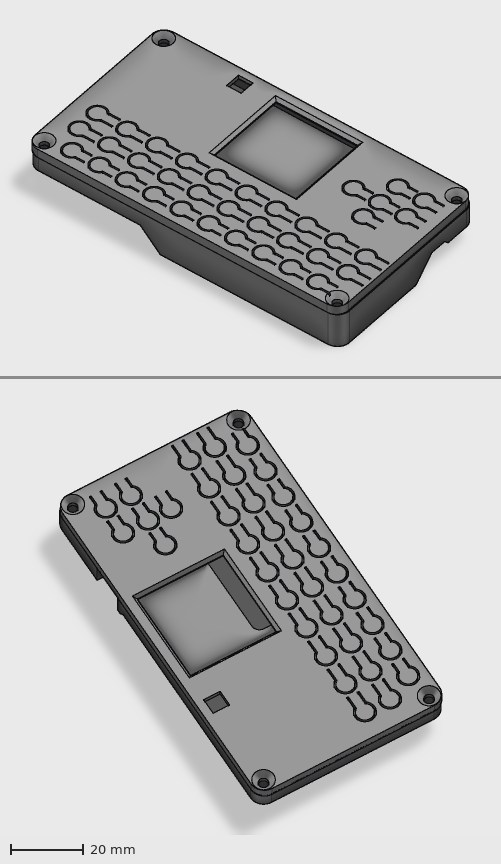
import cadquery as cq
import math

CASE_WIDTH = 110.5
CASE_DEPTH = 60.8
CORNER_RADIUS = 4.2
WALL = 1.0
BASE_SHIFT = 0.3
BASE_RIGHT = BASE_SHIFT + CASE_WIDTH
STEP_Z = 7.1
SEAM_Z = 12.0
TOP_Z = 15.1
LID_PLATE = 1.4
FLOOR_Z = 8.8

BULGE_LEFT = 47.4
BULGE_BACK = 34.1
BULGE_CORNER = 2.0
BATTERY_LEFT = 48.7
BATTERY_BACK = 32.6
BATTERY_CORNER_RADIUS = 2.4
BATTERY_FLOOR_Z = 1.3

PAD_HEIGHT = 1.5
PAD_LEFT = 75.0
PAD_FRONT = 48.4
NOTCH_LEFT = 76.5
NOTCH_FRONT = 48.7
NOTCH_WIDTH = 11.1

SCREW_DIAMETER = 3.0
SCREW_HEAD_DIAMETER = 6.5
SCREW_HEAD_ANGLE = 90
BOSS_DIAMETER = 7.8
SCREW_POINTS = [(3.7, 57.2), (3.4, 3.9), (107.1, 57.0), (107.0, 3.5)]

WINDOW_LEFT, WINDOW_RIGHT = 42.4, 73.2
WINDOW_FRONT, WINDOW_BACK = 28.3, 57.9
WINDOW_BEVEL = 1.0
INDICATOR_LEFT, INDICATOR_RIGHT = 29.2, 34.3
INDICATOR_FRONT, INDICATOR_BACK = 52.8, 58.2

KEY_RADIUS = 2.7
KEY_HALF_STEM = 1.4
SLOT_WIDTH = 0.5
KEYS_PER_ROW = 10
LONG_STEM = 6.5
SHORT_STEM = 5.5
WIDE_PITCH = 10.5
NARROW_PITCH = 9.6
ROWS = [
    (8.1, 21.8, WIDE_PITCH, LONG_STEM),
    (8.1, 13.7, WIDE_PITCH, LONG_STEM),
    (12.0, 5.5, NARROW_PITCH, SHORT_STEM),
]
CROSS_KEY_COLUMNS = (82.8, 92.1, 101.4)
CROSS_KEY_ROWS = (34.2, 41.7, 49.7)


def box_between(x0, x1, y0, y1, z0, z1):
    return cq.Workplane("XY").box(x1 - x0, y1 - y0, z1 - z0, centered=False).translate((x0, y0, z0))


def rounded_block(left, inset, z0, z1):
    """Block with the case outline, moved inwards by the inset."""
    block = box_between(left + inset, left + CASE_WIDTH - inset, inset, CASE_DEPTH - inset, z0, z1)
    return block.edges("|Z").fillet(CORNER_RADIUS - inset)


def cylinders(diameter, z0, z1):
    """One cylinder on each screw axis."""
    points = cq.Workplane("XY", origin=(0, 0, z0)).pushPoints(SCREW_POINTS)
    return points.circle(diameter / 2).extrude(z1 - z0)


def key_outline(radius, half_stem, length):
    """Disc with a straight stem towards +X, as a solid as thick as the lid plate."""
    disc = cq.Workplane("XY").circle(radius).extrude(LID_PLATE)
    stem = box_between(0, length, -half_stem, half_stem, 0, LID_PLATE)
    return disc.union(stem)


def key_slot(x, y, stem_length):
    """Keyhole-shaped slot through the lid plate, open at the end of the stem."""
    outer = key_outline(KEY_RADIUS + SLOT_WIDTH, KEY_HALF_STEM + SLOT_WIDTH, stem_length)
    slot = outer.cut(key_outline(KEY_RADIUS, KEY_HALF_STEM, stem_length))
    return slot.translate((x, y, TOP_Z - LID_PLATE))


def key_slots():
    slots = []
    for first_x, y, pitch, stem_length in ROWS:
        for i in range(KEYS_PER_ROW):
            slots.append(key_slot(first_x + i * pitch, y, stem_length))
    left, middle, right = CROSS_KEY_COLUMNS
    low, centre, high = CROSS_KEY_ROWS
    cross = [(middle, low), (left, centre), (middle, centre), (right, centre), (middle, high), (right, high)]
    for x, y in cross:
        slots.append(key_slot(x, y, SHORT_STEM))
    return cq.Compound.makeCompound([slot.val() for slot in slots])


def display_window():
    width = WINDOW_RIGHT - WINDOW_LEFT
    depth = WINDOW_BACK - WINDOW_FRONT
    inner_width = width - 2 * WINDOW_BEVEL
    inner_depth = depth - 2 * WINDOW_BEVEL
    centre = ((WINDOW_LEFT + WINDOW_RIGHT) / 2, (WINDOW_FRONT + WINDOW_BACK) / 2)
    top = cq.Workplane("XY", origin=(*centre, TOP_Z)).rect(width, depth)
    bevel = top.workplane(offset=-WINDOW_BEVEL).rect(inner_width, inner_depth).loft(ruled=True)
    bottom = cq.Workplane("XY", origin=(*centre, TOP_Z - LID_PLATE))
    return bevel.union(bottom.rect(inner_width, inner_depth).extrude(LID_PLATE))


def make_lid():
    lid = rounded_block(0, 0, SEAM_Z, TOP_Z)
    cavity = rounded_block(0, WALL, SEAM_Z, TOP_Z - LID_PLATE)
    lid = lid.cut(cavity.cut(cylinders(BOSS_DIAMETER, SEAM_Z, TOP_Z)))
    lid = lid.cut(display_window())
    lid = lid.cut(box_between(INDICATOR_LEFT, INDICATOR_RIGHT, INDICATOR_FRONT, INDICATOR_BACK,
                              SEAM_Z, TOP_Z))
    lid = lid.cut(cq.Workplane(obj=key_slots()))
    screw_plane = lid.faces(">Z").workplane(origin=(0, 0, TOP_Z))
    return screw_plane.pushPoints(SCREW_POINTS).cskHole(SCREW_DIAMETER, SCREW_HEAD_DIAMETER, SCREW_HEAD_ANGLE)


def bulge_outline(plane, growth):
    """Outline of the bulge's bottom face, with its free sides moved outwards by the growth."""
    left = BULGE_LEFT - growth
    back = BULGE_BACK + growth
    corner = BULGE_CORNER + growth * (2 - math.sqrt(2))
    points = [(left, 0), (left, back - corner), (left + corner, back), (BASE_RIGHT, back), (BASE_RIGHT, 0)]
    return plane.polyline(points).close()


def battery_bulge():
    """45 degree flanks: each free side moves outwards as far as it rises."""
    bottom = bulge_outline(cq.Workplane("XY"), 0)
    return bulge_outline(bottom.workplane(offset=STEP_Z), STEP_Z).loft(ruled=True)


def back_pad():
    """Pad with 45 degree flanks on its -X and -Y sides; its upper part merges into the base floor."""
    pad = box_between(PAD_LEFT - PAD_HEIGHT, BASE_RIGHT, PAD_FRONT - PAD_HEIGHT, CASE_DEPTH,
                      STEP_Z - PAD_HEIGHT, FLOOR_Z)
    return pad.faces("<Z").edges("<X or <Y").chamfer(PAD_HEIGHT)


def battery_space():
    space = box_between(BATTERY_LEFT, BASE_RIGHT - WALL, WALL, BATTERY_BACK, BATTERY_FLOOR_Z, FLOOR_Z)
    space = space.edges("|Z and <X and >Y").fillet(BATTERY_CORNER_RADIUS)
    return space.edges("|Z and >X and <Y").fillet(CORNER_RADIUS - WALL)


def make_base():
    outer = rounded_block(BASE_SHIFT, 0, 0, SEAM_Z)
    underside = battery_bulge().union(back_pad()).intersect(outer)
    base = rounded_block(BASE_SHIFT, 0, STEP_Z, SEAM_Z).union(underside)
    cavity = rounded_block(BASE_SHIFT, WALL, FLOOR_Z, SEAM_Z).union(battery_space())
    base = base.cut(cavity.cut(cylinders(BOSS_DIAMETER, 0, SEAM_Z)))
    notch_right = NOTCH_LEFT + NOTCH_WIDTH
    base = base.cut(box_between(NOTCH_LEFT, notch_right, NOTCH_FRONT, CASE_DEPTH, 0, SEAM_Z))
    return base.cut(cylinders(SCREW_DIAMETER, 0, SEAM_Z))


lid = make_lid()
base = make_base()
result = cq.Compound.makeCompound([lid.solids().val(), base.solids().val()])